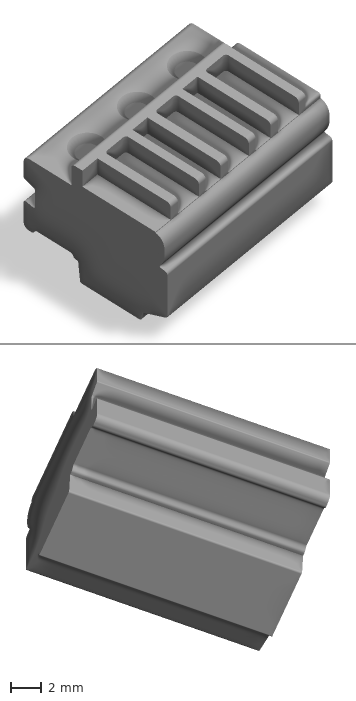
import cadquery as cq
import math

WIDTH = 12.5
LENGTH = 16.5
HEIGHT = 10.6

POSITIONS = 3
PITCH = 5.0

SHELF_Z = 8.6
BLOCK_LEFT = 4.14
BLOCK_RIGHT = 11.48
BLOCK_EDGE_RADIUS = 0.36
UNDERSIDE_Z = 2.28
LIP_Z = 1.9

SLOT_X = 0.99
SLOT_LOWER_EDGE_Z = 4.5
SLOT_UPPER_EDGE_Z = 6.52
SLOT_BOTTOM_Z = 4.25
SLOT_TOP_Z = 6.09
SLOT_RADIUS = 0.16

FOOT_LEFT = 4.92
FOOT_RIGHT = 10.2
FOOT_ROOT_LEFT = 4.74
FLANK_BOTTOM = (10.31, 0.8)
FLANK_TOP_Z = 1.73
FLANK_RADIUS = 0.25
GROOVE_ROOT = (11.76, 6.05)
GROOVE_EDGE_Z = 5.95
SMALL_RADIUS = 0.1
BEND_RADIUS = 0.2

LUG_TOP = (BLOCK_RIGHT, 9.03)
LUG_SHOULDER = (12.11, 8.56)
LUG_CREST = (12.28, 7.67)
LUG_FLANK = (12.16, 6.78)
LUG_END = (11.91, 6.29)

POCKET_LEFT = 5.12
POCKET_FLOOR_Z = 9.09
NARROW_POCKET = 1.5
WIDE_POCKET = 2.1
WIDE_POCKET_START = 2.23
WIDE_POCKET_RADIUS = 0.25

STEP_START = POSITIONS * PITCH
STEP_Z = 9.45
STEP_RIGHT_RADIUS = 0.2

SCREW_X = 2.65
SCREW_FIRST_Y = 3.33
SCREW_TOP_RADIUS = 1.35
SCREW_FLOOR_RADIUS = 0.85
SCREW_DEPTH = 0.5


def rounded_prism(corners, start_y, end_y):
    """Extrude along Y an X-Z outline given as (x, z, corner radius)."""
    outline = []
    for i, (x, z, radius) in enumerate(corners):
        before = corners[i - 1]
        after = corners[(i + 1) % len(corners)]
        corner = cq.Vector(x, start_y, z)
        back = (cq.Vector(before[0], start_y, before[1]) - corner).normalized()
        ahead = (cq.Vector(after[0], start_y, after[1]) - corner).normalized()
        if radius == 0:
            outline.append((corner, None, corner))
            continue
        half_angle = back.getAngle(ahead) / 2
        tangent_length = radius / math.tan(half_angle)
        bisector = (back + ahead).normalized()
        middle = corner + bisector * (radius / math.sin(half_angle) - radius)
        outline.append((corner + back * tangent_length, middle, corner + ahead * tangent_length))

    edges = []
    for i, (arc_start, middle, arc_end) in enumerate(outline):
        edges.append(cq.Edge.makeLine(outline[i - 1][2], arc_start))
        if middle is not None:
            edges.append(cq.Edge.makeThreePointArc(arc_start, middle, arc_end))
    wire = cq.Wire.assembleEdges(edges)
    return cq.Workplane(cq.Solid.extrudeLinear(wire, [], cq.Vector(0, end_y - start_y, 0)))


def body():
    """Housing below the ribbed block, clockwise from the shelf edge."""
    corners = [
        (0, SHELF_Z, 0.5),
        (BLOCK_LEFT, SHELF_Z, 0),
        (*LUG_TOP, 0),
        (*LUG_END, 0),
        (*GROOVE_ROOT, SMALL_RADIUS),
        (WIDTH, GROOVE_EDGE_Z, FLANK_RADIUS),
        (WIDTH, FLANK_TOP_Z, FLANK_RADIUS),
        (*FLANK_BOTTOM, 0),
        (FOOT_RIGHT, 0, SMALL_RADIUS),
        (FOOT_LEFT, 0, 0.13),
        (FOOT_ROOT_LEFT, LIP_Z, 0),
        (4.42, LIP_Z, BEND_RADIUS),
        (4.17, UNDERSIDE_Z, BEND_RADIUS),
        (1.05, UNDERSIDE_Z, BEND_RADIUS),
        (0.81, LIP_Z, 0.3),
        (0, LIP_Z, 0.46),
        (0, SLOT_LOWER_EDGE_Z, BEND_RADIUS),
        (SLOT_X, SLOT_BOTTOM_Z, SLOT_RADIUS),
        (SLOT_X, SLOT_TOP_Z, SLOT_RADIUS),
        (0, SLOT_UPPER_EDGE_Z, SMALL_RADIUS),
    ]
    return rounded_prism(corners, 0, LENGTH)


def lug():
    """Smoothly curved bulge standing on the slanting +X face of the body."""
    outline = cq.Workplane("XZ").moveTo(*LUG_TOP)
    outline = outline.spline([LUG_SHOULDER, LUG_CREST, LUG_FLANK, LUG_END], includeCurrent=True)
    return outline.close().extrude(-LENGTH)


def top_block(top_z, right_radius, start_y, end_y):
    """Length of the raised block with its two upper edges rounded."""
    corners = [
        (BLOCK_LEFT, UNDERSIDE_Z, 0),
        (BLOCK_LEFT, top_z, BLOCK_EDGE_RADIUS),
        (BLOCK_RIGHT, top_z, right_radius),
        (BLOCK_RIGHT, UNDERSIDE_Z, 0),
    ]
    return rounded_prism(corners, start_y, end_y)


def pocket(start_y, size_y):
    """Pocket cutter running out through the +X face of the block."""
    size_x = BLOCK_RIGHT - POCKET_LEFT
    size_z = HEIGHT - POCKET_FLOOR_Z
    cutter = cq.Workplane().box(size_x, size_y, size_z, centered=False)
    return cutter.translate((POCKET_LEFT, start_y, POCKET_FLOOR_Z))


def screw_recess(center_y):
    """Cone narrowing from the shelf down to a flat floor."""
    cone = cq.Solid.makeCone(
        SCREW_TOP_RADIUS,
        SCREW_FLOOR_RADIUS,
        SCREW_DEPTH,
        pnt=cq.Vector(SCREW_X, center_y, SHELF_Z),
        dir=cq.Vector(0, 0, -1),
    )
    return cq.Workplane(cone)


result = body().union(lug())
result = result.union(top_block(HEIGHT, BLOCK_EDGE_RADIUS, 0, STEP_START))
result = result.union(top_block(STEP_Z, STEP_RIGHT_RADIUS, STEP_START, LENGTH))

for position in range(POSITIONS):
    offset_y = position * PITCH
    wide_pocket = pocket(WIDE_POCKET_START + offset_y, WIDE_POCKET)
    wide_pocket = wide_pocket.edges("|Z and <X").fillet(WIDE_POCKET_RADIUS)
    result = result.cut(pocket(offset_y, NARROW_POCKET))
    result = result.cut(wide_pocket)
    result = result.cut(screw_recess(SCREW_FIRST_Y + offset_y))